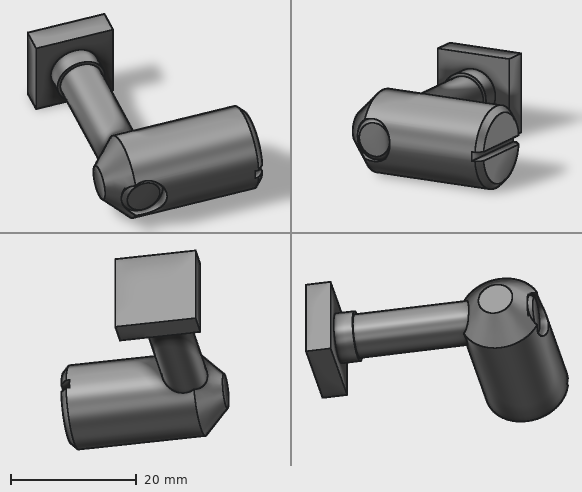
import cadquery as cq

total_length = 37.25
head_side = 13.0
head_thickness = 4.0
collar_diameter = 8.0
collar_length = 3.0
shank_diameter = 7.0
shank_end_x = 36.0
shank_end_chamfer = 0.75

barrel_diameter = 13.5
barrel_radius = barrel_diameter / 2
barrel_axis_x = total_length - barrel_radius
barrel_back_y = 20.0
barrel_front_y = -5.5
nose_length = 4.0
back_chamfer = 1.0

slot_width = 1.5
slot_depth = 1.55


def rod_along_x(diameter, start_x, end_x):
    """Round rod on the X axis between two positions."""
    return cq.Workplane("YZ", origin=(start_x, 0, 0)).circle(diameter / 2).extrude(end_x - start_x)


def make_t_bolt():
    """Square head, locating collar and plain shank in one piece."""
    collar_end_x = head_thickness + collar_length
    head = cq.Workplane("YZ").rect(head_side, head_side).extrude(head_thickness)
    collar = rod_along_x(collar_diameter, head_thickness, collar_end_x)
    shank = rod_along_x(shank_diameter, collar_end_x, shank_end_x)
    shank = shank.faces(">X").chamfer(shank_end_chamfer)
    return head.union(collar).union(shank)


def make_barrel():
    """Cylinder with a 45 degree nose, a cross bore for the shank and a slotted back end."""
    barrel_length = barrel_back_y - barrel_front_y
    body = (
        cq.Workplane("XZ", origin=(barrel_axis_x, barrel_back_y, 0))
        .circle(barrel_radius)
        .extrude(barrel_length)
        .faces("<Y").chamfer(nose_length)
        .faces(">Y").chamfer(back_chamfer)
    )
    bore = rod_along_x(shank_diameter, barrel_axis_x - barrel_diameter, barrel_axis_x + barrel_diameter)
    slot = (
        cq.Workplane("XZ", origin=(barrel_axis_x, barrel_back_y, 0))
        .rect(barrel_diameter, slot_width)
        .extrude(slot_depth)
    )
    return body.cut(bore).cut(slot)


t_bolt = make_t_bolt()
barrel = make_barrel()
result = cq.Compound.makeCompound([t_bolt.val(), barrel.val()])